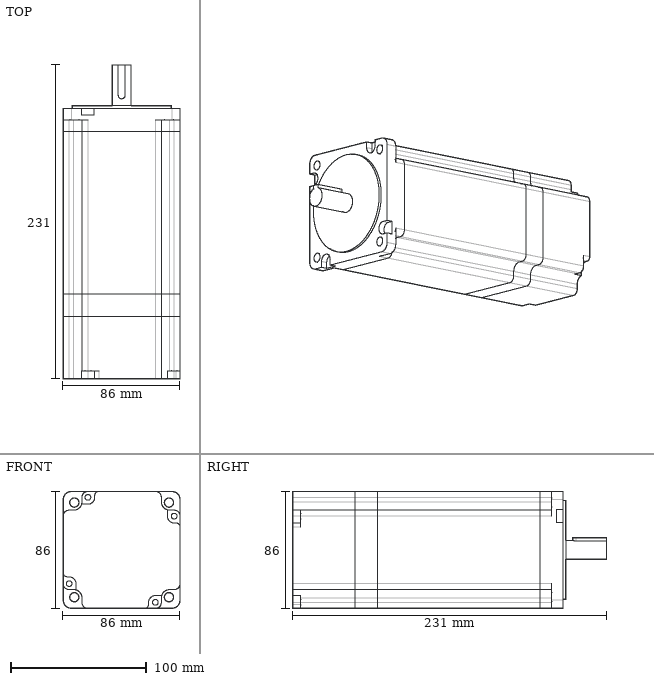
import cadquery as cq
import math


frame_size = 86.0
half_frame = frame_size / 2

cos45 = math.sqrt(0.5)

lobe_radius = 4.4
groove_radius = 6.1
groove_face = 29.2
lobe_center = half_frame - lobe_radius
lobe_start = groove_face - lobe_radius
groove_center = groove_face + groove_radius

flange_thickness = 8.5
flange_length = 17.0
stator_length = 119.5
spacer_length = 16.5
rear_cap_length = 46.0
pilot_height = 2.0
shaft_length = 30.0

flange_corner_radius = 6.0
pilot_diameter = 73.0
mount_hole_diameter = 6.6
mount_hole_offset = 34.8

nut_recess_radius = 4.7
nut_recess_offset = 25.0
nut_recess_depth = 5.0

screw_recess_radius = 5.0
screw_recess_depth = 6.0
screw_recess_lip_radius = 3.0
screw_hole_diameter = 4.2

shaft_diameter = 14.0
key_width = 5.0
key_length = 25.0
key_top = 9.0


def four_around(tool):
    """The tool repeated on the four sides of the motor axis."""
    return [tool.rotate((0, 0, 0), (0, 1, 0), 90 * turn) for turn in range(4)]


def frame_section(front, length):
    """Square bar with a grooved corner between each pair of sides."""
    lobe_mid = lobe_start + lobe_radius * cos45
    lobe_crest = lobe_center + lobe_radius * cos45
    groove_mid = groove_center - groove_radius * cos45

    def turned(u, v, turn):
        """Point (u, v) moved on by a number of quarter turns."""
        for _ in range(turn):
            u, v = v, -u
        return (u, v)

    outline = cq.Workplane("XZ", origin=(0, front, 0)).moveTo(-lobe_start, half_frame)
    for turn in range(4):
        outline = (
            outline
            .lineTo(*turned(lobe_start, half_frame, turn))
            .threePointArc(turned(lobe_mid, lobe_crest, turn), turned(groove_face, lobe_center, turn))
            .lineTo(*turned(groove_face, groove_center, turn))
            .threePointArc(turned(groove_mid, groove_mid, turn), turned(groove_center, groove_face, turn))
            .lineTo(*turned(lobe_center, groove_face, turn))
            .threePointArc(turned(lobe_crest, lobe_mid, turn), turned(half_frame, lobe_start, turn))
        )
    return outline.close().extrude(length)


def nut_recess():
    """Round-bottomed slot in the flange face, open to the top side."""
    slot_rise = half_frame - lobe_center
    round_end = (
        cq.Workplane("XZ")
        .center(-nut_recess_offset, lobe_center)
        .circle(nut_recess_radius)
        .extrude(nut_recess_depth)
    )
    mouth = (
        cq.Workplane("XZ")
        .center(-nut_recess_offset, lobe_center + slot_rise / 2)
        .rect(2 * nut_recess_radius, slot_rise)
        .extrude(nut_recess_depth)
    )
    return round_end.union(mouth)


def make_flange():
    plate = (
        cq.Workplane("XZ")
        .rect(frame_size, frame_size)
        .extrude(flange_thickness)
        .edges("|Y")
        .fillet(flange_corner_radius)
    )
    pilot = cq.Workplane("XZ").circle(pilot_diameter / 2).extrude(-pilot_height)
    flange = plate.union(frame_section(0, flange_length))
    for recess in four_around(nut_recess()):
        flange = flange.cut(recess)
    mount_holes = (
        cq.Workplane("XZ")
        .rect(2 * mount_hole_offset, 2 * mount_hole_offset, forConstruction=True)
        .vertices()
        .circle(mount_hole_diameter / 2)
        .extrude(flange_thickness)
    )
    return flange.cut(mount_holes).union(pilot)


def screw_recess(rear):
    """Recess around a tie screw, open to the top side and to the corner groove."""
    inner_wall = -lobe_start + screw_recess_radius
    floor = lobe_center - screw_recess_radius
    lip = screw_recess_lip_radius
    lip_start = half_frame - lip
    return (
        cq.Workplane("XZ", origin=(0, rear, 0))
        .moveTo(-groove_center, floor)
        .lineTo(-lobe_start, floor)
        .threePointArc(
            (-lobe_start + screw_recess_radius * cos45, lobe_center - screw_recess_radius * cos45),
            (inner_wall, lobe_center),
        )
        .lineTo(inner_wall, lip_start)
        .threePointArc(
            (inner_wall + lip * (1 - cos45), lip_start + lip * cos45),
            (inner_wall + lip, half_frame),
        )
        .lineTo(-groove_center, half_frame)
        .close()
        .extrude(-screw_recess_depth)
    )


def make_rear_cap(front):
    rear = front - rear_cap_length
    cap = frame_section(front, rear_cap_length)
    screw_hole = (
        cq.Workplane("XZ", origin=(0, front, 0))
        .center(-lobe_start, lobe_center)
        .circle(screw_hole_diameter / 2)
        .extrude(rear_cap_length)
    )
    for cut in four_around(screw_recess(rear).union(screw_hole)):
        cap = cap.cut(cut)
    return cap


def make_shaft():
    """Round shaft standing on the pilot, with its key at the free end."""
    tip = pilot_height + shaft_length
    rod = cq.Workplane("XZ", origin=(0, pilot_height, 0)).circle(shaft_diameter / 2).extrude(-shaft_length)
    straight = key_length - key_width / 2
    key = (
        cq.Workplane("XY")
        .moveTo(-key_width / 2, tip)
        .lineTo(-key_width / 2, tip - straight)
        .threePointArc((0, tip - key_length), (key_width / 2, tip - straight))
        .lineTo(key_width / 2, tip)
        .close()
        .extrude(key_top)
    )
    return rod.union(key)


stator_front = -flange_length
spacer_front = stator_front - stator_length
rear_cap_front = spacer_front - spacer_length

flange = make_flange()
stator = frame_section(stator_front, stator_length)
spacer = frame_section(spacer_front, spacer_length)
rear_cap = make_rear_cap(rear_cap_front)
shaft = make_shaft()

result = cq.Compound.makeCompound([
    flange.val(),
    stator.val(),
    spacer.val(),
    rear_cap.val(),
    shaft.val(),
])